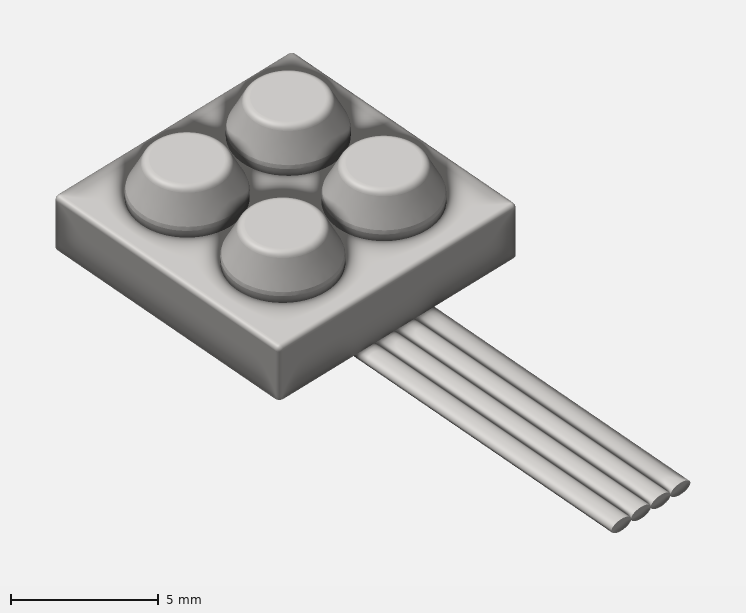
import cadquery as cq
overall_length = 23.52

housing_side = 11.1
housing_height = 2.33
housing_edge_radius = 0.19

button_diameter = 4.23
button_spacing = 4.7
button_height = 1.7
button_rim_height = 0.38
button_top_diameter = 2.96
button_rim_radius = 0.35
button_top_radius = 0.3

wire_count = 4
wire_width = 0.92
wire_length = 14.0
wire_thickness = 0.52

wire_end_x = overall_length - housing_side / 2
wire_start_x = wire_end_x - wire_length


def make_button():
    """Round button with a short upright rim, a tapered side and rounded edges, base at Z = 0."""
    rim = button_diameter / 2
    top = button_top_diameter / 2
    profile = (
        cq.Workplane("XZ")
        .moveTo(0, 0)
        .lineTo(rim, 0)
        .lineTo(rim, button_rim_height)
        .lineTo(top, button_height)
        .lineTo(0, button_height)
        .close()
    )
    button = profile.revolve(360, (0, 0, 0), (0, 1, 0))
    button = button.faces(">Z").edges().fillet(button_top_radius)
    rim_edge = cq.selectors.BoxSelector(
        (-rim, -rim, button_rim_height / 2),
        (rim, rim, button_rim_height * 3 / 2),
        boundingbox=False,
    )
    return button.edges("%CIRCLE").edges(rim_edge).fillet(button_rim_radius)


def make_housing():
    """Square block with rounded upright and top edges, carrying the four buttons."""
    block = cq.Workplane("XY").box(
        housing_side, housing_side, housing_height, centered=(True, True, False)
    )
    housing = block.edges("|Z or >Z").fillet(housing_edge_radius)
    button = make_button()
    for x_side in (-1, 1):
        for y_side in (-1, 1):
            place = (x_side * button_spacing / 2, y_side * button_spacing / 2, housing_height)
            housing = housing.union(button.translate(place))
    return housing


def make_wire(center_y):
    """Oval wire along X that touches the underside of the housing."""
    return (
        cq.Workplane("YZ", origin=(wire_start_x, center_y, -wire_thickness / 2))
        .ellipse(wire_width / 2, wire_thickness / 2)
        .extrude(wire_length)
    )


housing = make_housing()

wires = []
for index in range(wire_count):
    wire_y = (index - (wire_count - 1) / 2) * wire_width
    wires.append(make_wire(wire_y).val())

result = cq.Compound.makeCompound([housing.val(), *wires])